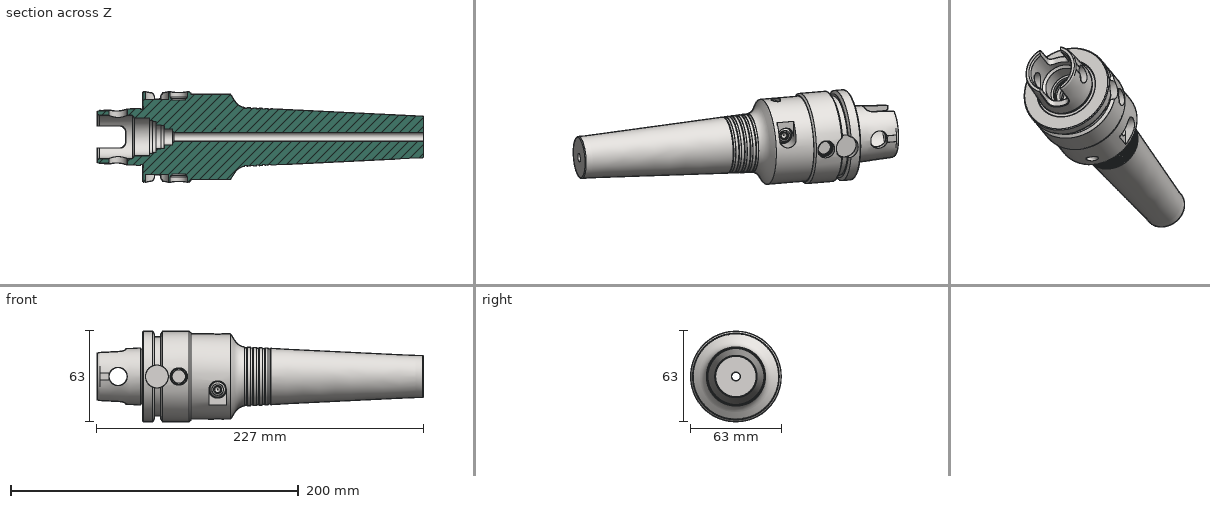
import cadquery as cq

total_length = 227.0
gauge_face_x = 31.5
shank_mouth_radius = 18.6
shank_base_radius = 20.0
mouth_chamfer_length = 1.8
mouth_chamfer_depth = 0.7
relief_width = 1.5
relief_slope = 0.5
relief_depth = 0.7
face_relief_radius = 21.8
face_relief_depth = 0.5

flange_radius = 31.5
flange_end_x = 65.4
flange_chamfer = 0.7
flange_end_chamfer = 1.4
groove_start_x = 38.5
groove_end_x = 45.5
groove_slope = 1.4
groove_slope_depth = 2.3
groove_floor_radius = 27.7
body_radius = 29.7
body_end_x = 93.0
body_chamfer = 0.5
shoulder_radius = 25.0
shoulder_end_x = 95.8

neck_start_x = 102.0
tip_radius = 14.8
tip_start_x = 221.5
tip_chamfer = 0.7
neck_slope = 0.049

ring_count = 5
ring_start_x = 102.5
ring_pitch = 4.0
ring_floor_length = 1.4
ring_length = 2.0
ring_depth = 0.5

bore_mouth_radius = 16.0
bore_radius = 15.0
bore_chamfer_length = 1.5
bore_end_x = 24.5
bore_step_start_x = 25.9
bore_steps = [(26.0, 36.3), (22.7, 38.5), (21.3, 40.9), (16.3, 44.3), (16.0, 46.5), (11.0, 52.2)]
coolant_cone_diameter = 8.5
coolant_diameter = 6.0

drive_slot_width = 15.2
drive_slot_end_x = 19.7
drive_slot_corner = 4.3
drive_slot_chamfer = 0.5
cross_hole_diameter = 12.5
cross_hole_x = 14.5
guide_flat_width = 4.8
guide_flat_offset = 18.5

dimple_x = 41.5
dimple_diameter = 16.0
dimple_floor = 26.0
chip_hole_x = 56.8
chip_hole_steps = [(12.0, 27.7), (11.0, 26.8), (9.3, 25.9)]

pocket_x = 83.8
pocket_offset_z = 9.0
pocket_width = 12.0
pocket_floor = 22.2
screw_well_floor = 18.2
screw_base_diameter = 11.0
screw_face_diameter = 8.0
screw_height = 2.3
socket_diameter = 5.7
socket_depth = 1.4
socket_tip_diameter = 4.0
balance_hole_diameter = 6.1
balance_hole_depth = 6.0
balance_hole_tilt = 45.0


def neck_radius(x):
    """Radius of the tapered neck at a place along X."""
    return tip_radius + neck_slope * (tip_start_x - x)


def revolve_about_x(outline):
    return outline.close().revolve(360, (0, 0, 0), (1, 0, 0))


def turned_body():
    outline = (
        cq.Workplane("XY")
        .moveTo(0, 0)
        .lineTo(0, shank_mouth_radius - mouth_chamfer_depth)
        .lineTo(mouth_chamfer_length, shank_mouth_radius)
        .lineTo(gauge_face_x - relief_width, shank_base_radius)
        .lineTo(gauge_face_x - relief_width + relief_slope, shank_base_radius - relief_depth)
        .lineTo(gauge_face_x + face_relief_depth, shank_base_radius - relief_depth)
        .lineTo(gauge_face_x + face_relief_depth, face_relief_radius - face_relief_depth)
        .lineTo(gauge_face_x, face_relief_radius)
        .lineTo(gauge_face_x, flange_radius - flange_chamfer)
        .lineTo(gauge_face_x + flange_chamfer, flange_radius)
        .lineTo(groove_start_x, flange_radius)
        .lineTo(groove_start_x + groove_slope, flange_radius - groove_slope_depth)
        .lineTo(groove_start_x + groove_slope, groove_floor_radius)
        .lineTo(groove_end_x - groove_slope, groove_floor_radius)
        .lineTo(groove_end_x - groove_slope, flange_radius - groove_slope_depth)
        .lineTo(groove_end_x, flange_radius)
        .lineTo(flange_end_x - flange_end_chamfer, flange_radius)
        .lineTo(flange_end_x, flange_radius - flange_end_chamfer)
        .lineTo(flange_end_x, body_radius)
        .lineTo(body_end_x - body_chamfer, body_radius)
        .lineTo(body_end_x, body_radius - body_chamfer)
        .lineTo(shoulder_end_x, shoulder_radius)
        .tangentArcPoint((neck_start_x, neck_radius(neck_start_x)), relative=False)
        .lineTo(tip_start_x, tip_radius)
        .lineTo(total_length - tip_chamfer, tip_radius)
        .lineTo(total_length, tip_radius - tip_chamfer)
        .lineTo(total_length, 0)
    )
    return revolve_about_x(outline)


def ring_groove(start_x):
    """Ring cut with one steep side, a floor along the neck and one sloping side."""
    floor_end_x = start_x + ring_floor_length
    end_x = start_x + ring_length
    outline = (
        cq.Workplane("XY")
        .moveTo(start_x, neck_radius(start_x))
        .lineTo(start_x, neck_radius(start_x) - ring_depth)
        .lineTo(floor_end_x, neck_radius(floor_end_x) - ring_depth)
        .lineTo(end_x, neck_radius(end_x))
        .lineTo(end_x, body_radius)
        .lineTo(start_x, body_radius)
    )
    return revolve_about_x(outline)


def stepped_bore():
    coolant_cone_radius = coolant_cone_diameter / 2
    coolant_radius = coolant_diameter / 2
    cone_start_x = bore_steps[-1][1]
    cone_end_x = cone_start_x + coolant_cone_radius - coolant_radius
    outline = (
        cq.Workplane("XY")
        .moveTo(0, 0)
        .lineTo(0, bore_mouth_radius)
        .lineTo(bore_chamfer_length, bore_radius)
        .lineTo(bore_end_x, bore_radius)
    )
    step_start_x = bore_step_start_x
    for diameter, step_end_x in bore_steps:
        outline = outline.lineTo(step_start_x, diameter / 2).lineTo(step_end_x, diameter / 2)
        step_start_x = step_end_x
    outline = (
        outline
        .lineTo(cone_start_x, coolant_cone_radius)
        .lineTo(cone_end_x, coolant_radius)
        .lineTo(total_length, coolant_radius)
        .lineTo(total_length, 0)
    )
    return revolve_about_x(outline)


def drive_slot():
    """Slot across the shank mouth, open at top and bottom."""
    return (
        cq.Workplane("XY")
        .box(2 * drive_slot_end_x, drive_slot_width, 2 * flange_radius)
        .edges("|Z")
        .fillet(drive_slot_corner)
    )


def side_cylinder(x, z, diameter, floor):
    """Round cut from the -Y side, down to a floor at a distance from the axis."""
    plane = cq.Workplane("XZ", origin=(x, 0, z)).workplane(offset=floor)
    return plane.circle(diameter / 2).extrude(flange_radius - floor)


def cross_hole():
    return side_cylinder(cross_hole_x, 0, cross_hole_diameter, 0)


def guide_flat():
    """Narrow flat from the shank mouth to the cross hole."""
    depth = flange_radius - guide_flat_offset
    return (
        cq.Workplane("XY")
        .box(cross_hole_x - mouth_chamfer_length, depth, guide_flat_width)
        .translate(((cross_hole_x + mouth_chamfer_length) / 2, -guide_flat_offset - depth / 2, 0))
    )


def screw_head():
    """Tapered screw end with a round socket ending in a cone."""
    face = screw_well_floor + screw_height
    socket_floor = face - socket_depth
    socket_tip_radius = socket_tip_diameter / 2
    outline = (
        cq.Workplane("XY")
        .moveTo(0, screw_well_floor)
        .lineTo(screw_base_diameter / 2, screw_well_floor)
        .lineTo(screw_face_diameter / 2, face)
        .lineTo(socket_diameter / 2, face)
        .lineTo(socket_diameter / 2, socket_floor)
        .lineTo(socket_tip_radius, socket_floor)
        .lineTo(0, socket_floor - socket_tip_radius / 2)
    )
    head = outline.close().revolve(360, (0, 0, 0), (0, 1, 0))
    return head.rotate((0, 0, 0), (1, 0, 0), 180).translate((pocket_x, 0, -pocket_offset_z))


def screw_pocket():
    """Flat pocket running out of the body, with a round well around the screw."""
    well = side_cylinder(pocket_x, -pocket_offset_z, pocket_width, screw_well_floor)
    depth = flange_radius - pocket_floor
    height = flange_radius - pocket_offset_z
    run_out = (
        cq.Workplane("XY")
        .box(pocket_width, depth, height)
        .translate((pocket_x, -pocket_floor - depth / 2, -pocket_offset_z - height / 2))
    )
    return well.union(run_out).cut(screw_head())


def balance_hole():
    """Tilted blind hole that starts at the top of the body and leans to -Y."""
    return (
        cq.Workplane("XY")
        .circle(balance_hole_diameter / 2)
        .extrude(2 * balance_hole_depth)
        .translate((0, 0, -balance_hole_depth))
        .rotate((0, 0, 0), (1, 0, 0), -balance_hole_tilt)
        .translate((pocket_x, 0, body_radius))
    )


def chamfer_drive_slot(part):
    """Break the outer rim of the drive slot at the top and bottom of the shank."""
    for side in (1, -1):
        rim = cq.selectors.BoxSelector(
            (mouth_chamfer_length, -drive_slot_width, side * bore_mouth_radius),
            (gauge_face_x - relief_width, drive_slot_width, side * flange_radius),
        )
        part = part.edges(rim).chamfer(drive_slot_chamfer)
    return part


result = chamfer_drive_slot(turned_body().cut(stepped_bore()).cut(drive_slot()))

for index in range(ring_count):
    result = result.cut(ring_groove(ring_start_x + index * ring_pitch))

side_cuts = [
    cross_hole(),
    guide_flat(),
    side_cylinder(dimple_x, 0, dimple_diameter, dimple_floor),
    screw_pocket(),
    balance_hole(),
]
for step_diameter, step_floor in chip_hole_steps:
    side_cuts.append(side_cylinder(chip_hole_x, 0, step_diameter, step_floor))

for cutter in side_cuts:
    result = result.cut(cutter)
    result = result.cut(cutter.rotate((0, 0, 0), (1, 0, 0), 180))